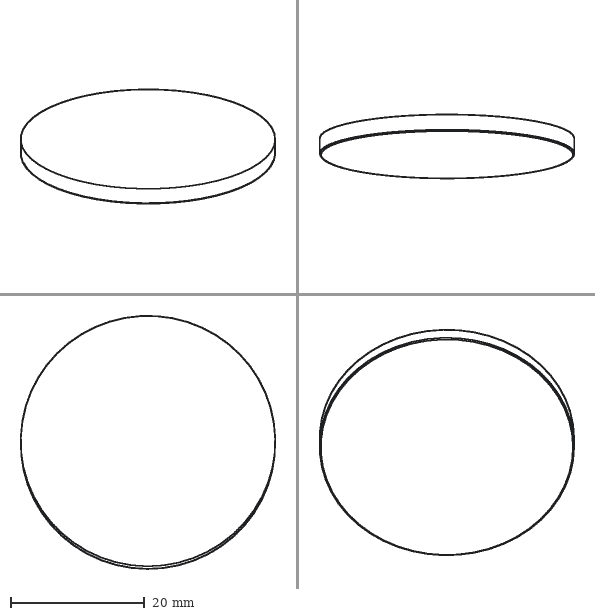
import cadquery as cq

diameter = 38.1
center_thickness = 4.25
edge_thickness = 2.5
bevel = 0.2

radius = diameter / 2
sag = center_thickness - edge_thickness
sphere_radius = (radius**2 + sag**2) / (2 * sag)

blank = cq.Workplane("XY").circle(radius).extrude(center_thickness)
blank = blank.faces("<Z").edges().chamfer(bevel)

sphere = cq.Workplane("XY").sphere(sphere_radius).translate((0, 0, center_thickness - sphere_radius))

result = blank.intersect(sphere)